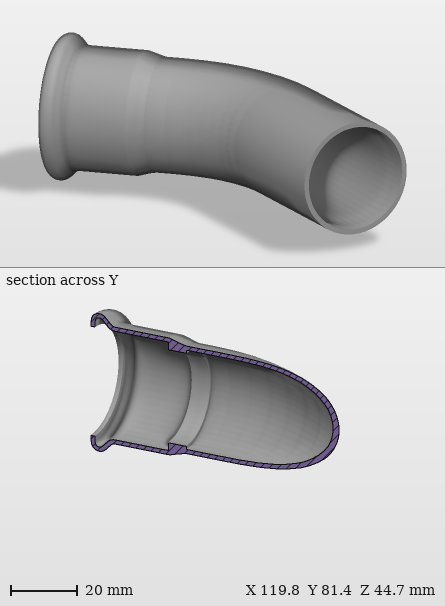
import cadquery as cq
import math

wall = 1.5
socket_radius = 18.97
tube_radius = 17.5
socket_bore = socket_radius - wall
tube_bore = tube_radius - wall
throat_bore = 15.0
lip_bore = 17.6

bead_radius = 2.9
bead_ring_radius = 19.45
bead_foot_fillet = 2.0
bead_flank_angle = math.radians(45)

stop_x = 26.5
shoulder_angle = math.radians(15)
shoulder_fillet = 3.0
neck_fillet = 2.0

bend_start_x = 38.8
bend_radius = 52.8
bend_angle = 45
spigot_length = 44.2


def arc_point(centre, radius, angle):
    """Point of a circle, with the angle measured from +X in radians."""
    return (centre[0] + radius * math.cos(angle), centre[1] + radius * math.sin(angle))


def add_arc(path, centre, radius, start, end):
    """Extend the path along a circle from the start angle to the end angle."""
    middle = arc_point(centre, radius, (start + end) / 2)
    return path.threePointArc(middle, arc_point(centre, radius, end))


bead_centre = (bead_radius, bead_ring_radius)
foot_y = socket_radius + bead_foot_fillet
foot_x = (
    bead_radius
    + (bead_radius + bead_foot_fillet) / math.cos(bead_flank_angle)
    - (foot_y - bead_ring_radius) * math.tan(bead_flank_angle)
)
foot_centre = (foot_x, foot_y)


def add_bead(path, section_radius, foot_radius):
    """Extend the path over the bead, down its flank and along the foot fillet."""
    foot_start = bead_flank_angle - math.pi
    path = add_arc(path, bead_centre, section_radius, math.pi, bead_flank_angle)
    path = path.lineTo(*arc_point(foot_centre, foot_radius, foot_start))
    return add_arc(path, foot_centre, foot_radius, foot_start, -math.pi / 2)


def revolve_about_x(path):
    return path.close().revolve(360, (0, 0, 0), (1, 0, 0))


shoulder_centre = (stop_x, socket_radius - shoulder_fillet)
neck_y = tube_radius + neck_fillet
cone_top = arc_point(shoulder_centre, shoulder_fillet, math.pi / 2 - shoulder_angle)
cone_bottom_y = neck_y - neck_fillet * math.cos(shoulder_angle)
cone_bottom_x = cone_top[0] + (cone_top[1] - cone_bottom_y) / math.tan(shoulder_angle)
neck_x = cone_bottom_x + neck_fillet * math.sin(shoulder_angle)
neck_centre = (neck_x, neck_y)


def make_socket_body():
    path = cq.Workplane("XY").lineTo(0, bead_ring_radius)
    path = add_bead(path, bead_radius, bead_foot_fillet)
    path = path.lineTo(stop_x, socket_radius)
    path = add_arc(path, shoulder_centre, shoulder_fillet, math.pi / 2, math.pi / 2 - shoulder_angle)
    path = path.lineTo(cone_bottom_x, cone_bottom_y)
    path = add_arc(path, neck_centre, neck_fillet, -math.pi / 2 - shoulder_angle, -math.pi / 2)
    return revolve_about_x(path.lineTo(neck_x, 0))


def make_socket_cavity():
    """Mouth, seal groove, socket bore with a flat stop, and throat."""
    path = cq.Workplane("XY").lineTo(0, lip_bore).lineTo(wall, lip_bore)
    path = path.lineTo(wall, bead_ring_radius)
    path = add_bead(path, bead_radius - wall, bead_foot_fillet + wall)
    path = path.lineTo(stop_x, socket_bore).lineTo(stop_x, throat_bore)
    return revolve_about_x(path.lineTo(neck_x, throat_bore).lineTo(neck_x, 0))


def make_elbow_rod(radius):
    """Round rod from the neck through the bend to the spigot end."""
    entry = cq.Workplane("YZ", origin=(neck_x, 0, 0)).circle(radius).extrude(bend_start_x - neck_x)
    bend = (
        cq.Workplane("YZ", origin=(bend_start_x, 0, 0))
        .circle(radius)
        .revolve(bend_angle, (-bend_radius, 1.2, 0), (-bend_radius, 0, 0))
    )
    turn = math.radians(bend_angle)
    bend_end = (
        bend_start_x + bend_radius * math.sin(turn),
        -bend_radius * (1 - math.cos(turn)),
        0,
    )
    end_plane = cq.Plane(origin=bend_end, xDir=(0, 0, 1), normal=(math.cos(turn), -math.sin(turn), 0))
    spigot = cq.Workplane(end_plane).circle(radius).extrude(spigot_length)
    return entry.union(bend).union(spigot)


socket = make_socket_body().cut(make_socket_cavity())
elbow = make_elbow_rod(tube_radius).cut(make_elbow_rod(tube_bore))
result = socket.union(elbow)